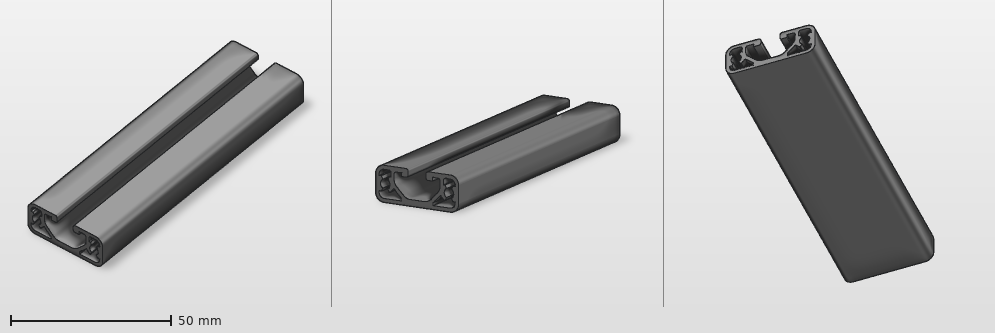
import cadquery as cq
import math

LENGTH = 100.0
WIDTH = 30.0
HEIGHT = 12.0
OUTER_RADIUS = 3.0
HALF_HEIGHT = HEIGHT / 2

SLOT_HALF_WIDTH = 3.2
LIP_WIDTH = 2.4
LIP_DEPTH = 2.8
LIP_TOP_RADIUS = 0.9
LIP_BOTTOM_RADIUS = 0.7

CHANNEL_HALF_WIDTH = 8.3
CHANNEL_ROOF = 1.6
FLOOR_THICKNESS = 2.2
FLOOR_CORNER_X = 3.9
CHANNEL_ROOF_RADIUS = 0.8
FLANK_RADIUS = 3.3

WALL = 1.3
WEB = 1.2
FLANK_WEB = 1.3
CHAMBER_OUTER_RADIUS = 1.8
CHAMBER_INNER_RADIUS = 0.8
LOWER_CHAMBER_TIP_X = 5.8
TOOTH_HALF_HEIGHT = 2.5
TOOTH_FLAT_END_X = 9.8

PORT_X = 11.5
PORT_RADIUS = 1.7
THROAT_HALF_WIDTH = 0.9
THROAT_MOUTH_HALF_WIDTH = 1.4


def rounded_prism(corners):
    """Extrude a closed outline of (x, z, corner radius) along the full length."""
    rounded = []
    for i, (x, z, radius) in enumerate(corners):
        corner = cq.Vector(x, z)
        if radius == 0:
            rounded.append((corner, corner, corner))
            continue
        to_previous = (cq.Vector(*corners[i - 1][:2]) - corner).normalized()
        to_next = (cq.Vector(*corners[(i + 1) % len(corners)][:2]) - corner).normalized()
        half_angle = to_previous.getAngle(to_next) / 2
        setback = radius / math.tan(half_angle)
        bisector = (to_previous + to_next).normalized()
        middle = corner + bisector * (radius / math.sin(half_angle) - radius)
        rounded.append((corner + to_previous * setback, middle, corner + to_next * setback))

    first_end = rounded[0][2]
    outline = cq.Workplane("XZ").moveTo(first_end.x, first_end.y)
    for start, middle, end in rounded[1:] + rounded[:1]:
        outline = outline.lineTo(start.x, start.y)
        if start != end:
            outline = outline.threePointArc((middle.x, middle.y), (end.x, end.y))
    return outline.close().extrude(LENGTH / 2, both=True)


def body():
    block = cq.Workplane("XY").box(WIDTH, LENGTH, HEIGHT)
    return block.edges("|Y").fillet(OUTER_RADIUS)


def slot_and_channel():
    floor_z = -HALF_HEIGHT + FLOOR_THICKNESS
    lip_z = HALF_HEIGHT - LIP_DEPTH
    roof_z = HALF_HEIGHT - CHANNEL_ROOF
    flank_top_z = floor_z + CHANNEL_HALF_WIDTH - FLOOR_CORNER_X
    lip_back_x = SLOT_HALF_WIDTH + LIP_WIDTH
    mouth_half_width = SLOT_HALF_WIDTH + LIP_TOP_RADIUS
    lip_round_z = HALF_HEIGHT - LIP_TOP_RADIUS

    channel_right = [
        (FLOOR_CORNER_X, floor_z, FLANK_RADIUS),
        (CHANNEL_HALF_WIDTH, flank_top_z, FLANK_RADIUS),
        (CHANNEL_HALF_WIDTH, roof_z, CHANNEL_ROOF_RADIUS),
        (lip_back_x, roof_z, 0),
        (lip_back_x, lip_z, 0),
        (SLOT_HALF_WIDTH, lip_z, LIP_BOTTOM_RADIUS),
        (SLOT_HALF_WIDTH, lip_round_z, 0),
    ]
    channel_left = [(-x, z, radius) for x, z, radius in reversed(channel_right)]
    channel = rounded_prism(channel_right + channel_left)

    arc_offset = LIP_TOP_RADIUS * math.sqrt(0.5)
    arc_x = mouth_half_width - arc_offset
    arc_z = lip_round_z + arc_offset
    mouth = (
        cq.Workplane("XZ")
        .moveTo(-SLOT_HALF_WIDTH, lip_round_z)
        .lineTo(SLOT_HALF_WIDTH, lip_round_z)
        .threePointArc((arc_x, arc_z), (mouth_half_width, HALF_HEIGHT))
        .lineTo(-mouth_half_width, HALF_HEIGHT)
        .threePointArc((-arc_x, arc_z), (-SLOT_HALF_WIDTH, lip_round_z))
        .close()
        .extrude(LENGTH / 2, both=True)
    )
    return channel.union(mouth)


def upper_chamber():
    outer_x = WIDTH / 2 - WALL
    inner_x = CHANNEL_HALF_WIDTH + WEB
    top_z = HALF_HEIGHT - WALL
    return rounded_prism([
        (outer_x, TOOTH_HALF_HEIGHT, 0),
        (outer_x, top_z, CHAMBER_OUTER_RADIUS),
        (inner_x, top_z, CHAMBER_INNER_RADIUS),
        (inner_x, TOOTH_HALF_HEIGHT, 0),
    ])


def lower_chamber():
    outer_x = WIDTH / 2 - WALL
    bottom_z = -HALF_HEIGHT + WALL
    channel_flank = FLOOR_CORNER_X + HALF_HEIGHT - FLOOR_THICKNESS
    chamber_flank = channel_flank + FLANK_WEB * math.sqrt(2)
    tooth_flank = TOOTH_FLAT_END_X - TOOTH_HALF_HEIGHT
    return rounded_prism([
        (outer_x, -TOOTH_HALF_HEIGHT, 0),
        (TOOTH_FLAT_END_X, -TOOTH_HALF_HEIGHT, 0),
        ((tooth_flank + chamber_flank) / 2, (tooth_flank - chamber_flank) / 2, 0),
        (LOWER_CHAMBER_TIP_X, LOWER_CHAMBER_TIP_X - chamber_flank, 0),
        (LOWER_CHAMBER_TIP_X, bottom_z, 0),
        (outer_x, bottom_z, CHAMBER_OUTER_RADIUS),
    ])


def screw_port():
    port = cq.Workplane("XZ").center(PORT_X, 0).circle(PORT_RADIUS).extrude(LENGTH / 2, both=True)
    throat_z = math.sqrt(PORT_RADIUS**2 - THROAT_HALF_WIDTH**2)
    for side in (1, -1):
        port = port.union(rounded_prism([
            (PORT_X - THROAT_HALF_WIDTH, side * throat_z, 0),
            (PORT_X + THROAT_HALF_WIDTH, side * throat_z, 0),
            (PORT_X + THROAT_MOUTH_HALF_WIDTH, side * TOOTH_HALF_HEIGHT, 0),
            (PORT_X - THROAT_MOUTH_HALF_WIDTH, side * TOOTH_HALF_HEIGHT, 0),
        ]))
    return port


side_hollow = upper_chamber().union(lower_chamber()).union(screw_port())

result = (
    body()
    .cut(slot_and_channel())
    .cut(side_hollow)
    .cut(side_hollow.mirror("YZ"))
)